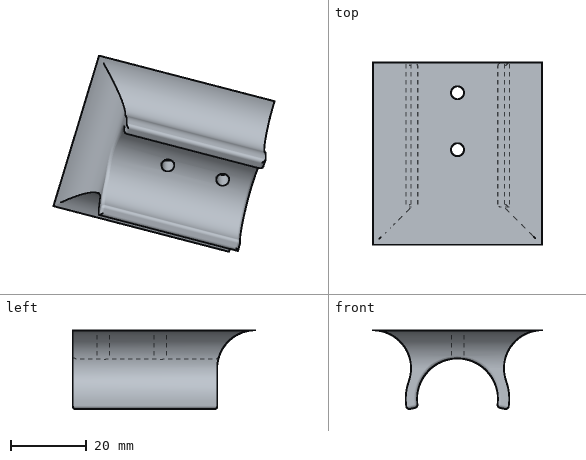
import cadquery as cq
import math

plate_width = 44.55
plate_length = 48.1

flare_radius = 10.0

bore_radius = 10.65
bore_axis_z = -18.1
leg_end_angle = math.radians(12.1)
edge_round = 0.9

hole_diameter = 3.35
hole_distances_from_back = (8.0, 23.0)

half_width = plate_width / 2
front_y = -plate_length / 2
back_y = plate_length / 2
body_front_y = front_y + flare_radius

flare_to_bore_distance = math.hypot(half_width, flare_radius + bore_axis_z)
leg_radius = flare_to_bore_distance - flare_radius
flare_to_bore_angle = math.atan2(-flare_radius - bore_axis_z, half_width)
flare_mid_angle = (math.pi / 2 + math.pi + flare_to_bore_angle) / 2
flare_mid = (
    half_width + flare_radius * math.cos(flare_mid_angle),
    -flare_radius + flare_radius * math.sin(flare_mid_angle),
)


def around_bore(radius, angle):
    """Point (x, z) at a radius and angle about the bore axis."""
    return (radius * math.cos(angle), bore_axis_z + radius * math.sin(angle))


def mirrored(point):
    """The same point on the -X side."""
    return (-point[0], point[1])


def make_clip():
    """Clip cross-section, extruded over the whole length."""
    leg_start = around_bore(leg_radius, flare_to_bore_angle)
    leg_side = around_bore(leg_radius, 0)
    leg_outer_end = around_bore(leg_radius, -leg_end_angle)
    leg_inner_end = around_bore(bore_radius, -leg_end_angle)
    bore_top = around_bore(bore_radius, math.pi / 2)
    outline = (
        cq.Workplane("XZ", origin=(0, back_y, 0))
        .moveTo(-half_width, 0)
        .lineTo(half_width, 0)
        .threePointArc(flare_mid, leg_start)
        .threePointArc(leg_side, leg_outer_end)
        .lineTo(*leg_inner_end)
        .threePointArc(bore_top, mirrored(leg_inner_end))
        .lineTo(*mirrored(leg_outer_end))
        .threePointArc(mirrored(leg_side), mirrored(leg_start))
        .threePointArc(mirrored(flare_mid), (-half_width, 0))
        .close()
    )
    return outline.extrude(plate_length)


def make_side_envelope():
    """Side outline: square back end, concave flare at the front."""
    envelope_bottom_z = bore_axis_z - leg_radius
    diagonal_offset = flare_radius * math.sqrt(0.5)
    return (
        cq.Workplane("YZ", origin=(-half_width, 0, 0))
        .moveTo(back_y, 0)
        .lineTo(front_y, 0)
        .threePointArc(
            (front_y + diagonal_offset, -flare_radius + diagonal_offset),
            (body_front_y, -flare_radius),
        )
        .lineTo(body_front_y, envelope_bottom_z)
        .lineTo(back_y, envelope_bottom_z)
        .close()
        .extrude(plate_width)
    )


def cut_screw_holes(body):
    """Plain holes from the mounting face into the bore."""
    for distance in hole_distances_from_back:
        hole = (
            cq.Workplane("XY", origin=(0, back_y - distance, 0))
            .circle(hole_diameter / 2)
            .extrude(bore_axis_z)
        )
        body = body.cut(hole)
    return body


def round_clip_edges(body):
    """Round the bore rim at both ends and all edges of the leg ends."""
    tolerance = 0.005
    leg_inner_end_z = around_bore(bore_radius, -leg_end_angle)[1]
    edges = []
    for edge in body.edges().vals():
        middle = edge.positionAt(0.5)
        along_bore = abs(edge.tangentAt(0.5).y) > 0.5 - tolerance
        distance_to_axis = math.hypot(middle.x, middle.z - bore_axis_z)
        on_rim = abs(distance_to_axis - bore_radius) < tolerance and not along_bore
        on_leg_end = edge.BoundingBox().zmax < leg_inner_end_z + tolerance
        if on_rim or on_leg_end:
            edges.append(edge)
    return body.newObject(edges).fillet(edge_round)


body = make_clip().intersect(make_side_envelope())
result = cut_screw_holes(round_clip_edges(body))